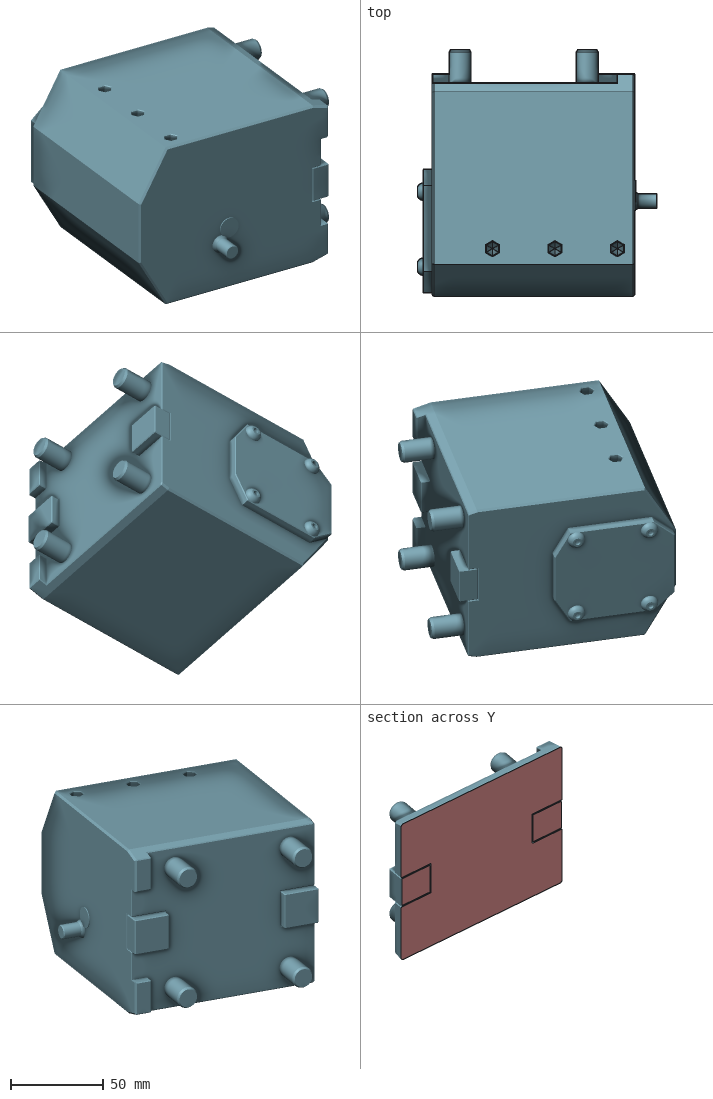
import cadquery as cq
import math

overall_x = 130.1
overall_y = 134.0
overall_z = 96.0

body_length = 110.1
back_y = 116.2
lug_y = 121.1
half_height = overall_z / 2
nose_half_height = 18.0
nose_slope = math.radians(30)
taper_start_y = 111.2
taper_angle = math.radians(15)
body_bevel = 1.1

lug_width = 9.8
lug_bottom_z = 26.5
small_chamfer = 0.47

key_length = 20.5
key_height = 20.2
key_front_y = 110.7

pin_diameter = 12.0
pin_x_positions = (15.3, 84.3)
pin_z = 35.1
pin_chamfer_length = 1.3
pin_chamfer_radial = 0.8

cover_thickness = 5.0
cover_front_y = 2.0
cover_back_y = 69.1
cover_half_height = 29.0
cover_top_y = (13.7, 60.5)
cover_front_half_height = 18.8
cover_back_half_height = 14.1

head_diameter = 9.6
head_flat_diameter = 5.2
head_socket_diameter = 3.2
head_socket_depth = 1.6
dome_bulge = 0.75
screw_y_positions = (16.2, 57.0)
screw_z = 23.9

set_screw_x_positions = (32.8, 66.7, 100.6)
set_screw_y = 26.0
set_screw_mouth_width = 7.5
set_screw_width = 6.7
set_screw_tip_width = 0.1
set_screw_depth = 6.0

cable_length = 12.0
cable_diameter = 8.0
cable_y = 51.9
cable_z = -20.0
collar_diameter = 10.3
collar_length = 1.7
disc_diameter = 11.7
disc_height = 0.5
disc_y = 57.2
disc_z = -11.4

head_height = overall_x - body_length - cover_thickness - cable_length

HEX_CORNER_RATIO = 2 / math.sqrt(3)
DRILL_POINT_RATIO = math.tan(math.radians(30))


def box(x0, x1, y0, y1, z0, z1):
    return cq.Workplane("XY").box(x1 - x0, y1 - y0, z1 - z0, centered=False).translate((x0, y0, z0))


def symmetric_outline(upper_points):
    """Close an outline by mirroring its upper (y, z) points below Z = 0."""
    lower_points = [(y, -z) for y, z in reversed(upper_points)]
    return cq.Workplane("YZ").polyline(upper_points + lower_points).close()


def make_body():
    nose_depth = (half_height - nose_half_height) * math.tan(nose_slope)
    lug_half_height = half_height - (lug_y - taper_start_y) * math.tan(taper_angle)
    outline = symmetric_outline([
        (0, nose_half_height),
        (nose_depth, half_height),
        (taper_start_y, half_height),
        (lug_y, lug_half_height),
    ])
    return outline.extrude(body_length).faces("<X or >X").chamfer(body_bevel)


def make_back_recess():
    """Material removed behind the back face, sparing the two corner lugs."""
    lug_x = body_length - lug_width
    beside_lugs = box(0, lug_x, back_y, lug_y, -half_height, half_height)
    between_lugs = box(lug_x, body_length, back_y, lug_y, -lug_bottom_z, lug_bottom_z)
    return beside_lugs.union(between_lugs)


def bevel_back(body):
    """Bevel the sharp edges of the back face, the key slot mouths and the lugs."""
    tolerance = 0.01
    lug_x = body_length - lug_width

    def at_back_face(center):
        on_face = abs(center.y - back_y) < tolerance
        at_lug_foot = center.x > lug_x - tolerance and abs(center.z) > lug_bottom_z - tolerance
        return on_face and not at_lug_foot

    def at_slot_mouth(center):
        on_end = min(center.x, body_length - center.x) < tolerance
        in_slot = center.y > key_front_y - tolerance and abs(center.z) < key_height / 2 + tolerance
        return on_end and in_slot

    def at_lug(center):
        return center.y > back_y + tolerance and center.x < body_length - body_bevel - tolerance

    back_edges = body.edges().filter(
        lambda edge: at_back_face(edge.Center()) or at_slot_mouth(edge.Center())
    )
    body = back_edges.chamfer(small_chamfer)
    lug_edges = body.edges().filter(lambda edge: at_lug(edge.Center()))
    return lug_edges.chamfer(small_chamfer)


def make_key_slot(x0):
    return box(x0, x0 + key_length, key_front_y, lug_y, -key_height / 2, key_height / 2)


def make_key(x0):
    return make_key_slot(x0).edges().chamfer(small_chamfer)


def make_pin(x, z):
    plane = cq.Plane(origin=(x, key_front_y, z), xDir=(1, 0, 0), normal=(0, 1, 0))
    pin = cq.Workplane(plane).circle(pin_diameter / 2).extrude(overall_y - key_front_y)
    return pin.faces(">Y").chamfer(pin_chamfer_length, pin_chamfer_radial)


def make_cover():
    front_top_y, back_top_y = cover_top_y
    outline = symmetric_outline([
        (cover_front_y, cover_front_half_height),
        (front_top_y, cover_half_height),
        (back_top_y, cover_half_height),
        (cover_back_y, cover_back_half_height),
    ])
    return outline.extrude(-cover_thickness).faces("<X").chamfer(small_chamfer)


def make_screw_head(y, z):
    """Domed head, revolved about its axis, with a drilled socket."""
    rim = head_diameter / 2
    flat = head_flat_diameter / 2
    profile = (
        cq.Workplane("XY")
        .moveTo(0, 0)
        .lineTo(0, rim)
        .threePointArc((-head_height / 2, flat + dome_bulge * (rim - flat)), (-head_height, flat))
        .lineTo(-head_height, 0)
        .close()
    )
    head = profile.revolve(360, (0, 0, 0), (1, 0, 0))
    socket_radius = head_socket_diameter / 2
    socket_tip = head_socket_depth + socket_radius * DRILL_POINT_RATIO
    socket = (
        cq.Workplane("XY")
        .polyline([
            (-head_height, 0),
            (-head_height, socket_radius),
            (head_socket_depth - head_height, socket_radius),
            (socket_tip - head_height, 0),
        ])
        .close()
        .revolve(360, (0, 0, 0), (1, 0, 0))
    )
    return head.cut(socket).translate((-cover_thickness, y, z))


def hexagon_taper(top_width, bottom_width, top_z, bottom_z):
    """Hexagonal frustum, sized across the flats, standing upright about the Z axis."""
    return (
        cq.Workplane("XY", origin=(0, 0, bottom_z))
        .polygon(6, bottom_width * HEX_CORNER_RATIO)
        .workplane(offset=top_z - bottom_z)
        .polygon(6, top_width * HEX_CORNER_RATIO)
        .loft(ruled=True)
    )


def make_set_screw_socket(x):
    """Hexagon socket with its corners along Y, a bevelled mouth and a pyramid bottom."""
    mouth_depth = (set_screw_mouth_width - set_screw_width) / 2
    tip_z = -set_screw_depth - set_screw_width / 2 * DRILL_POINT_RATIO
    mouth = hexagon_taper(set_screw_mouth_width, set_screw_width, 0, -mouth_depth)
    walls = hexagon_taper(set_screw_width, set_screw_width, -mouth_depth, -set_screw_depth)
    bottom = hexagon_taper(set_screw_width, set_screw_tip_width, -set_screw_depth, tip_z)
    socket = mouth.union(walls).union(bottom).rotate((0, 0, 0), (0, 0, 1), 30)
    return socket.translate((x, set_screw_y, half_height))


def make_cable():
    cable = (
        cq.Workplane("YZ", origin=(body_length, cable_y, cable_z))
        .circle(cable_diameter / 2)
        .extrude(cable_length)
        .faces(">X")
        .chamfer(small_chamfer)
    )
    collar = cq.Solid.makeCone(
        collar_diameter / 2,
        cable_diameter / 2,
        collar_length,
        cq.Vector(body_length, cable_y, cable_z),
        cq.Vector(1, 0, 0),
    )
    return cable.union(cq.Workplane(collar))


def make_disc():
    return (
        cq.Workplane("YZ", origin=(body_length, disc_y, disc_z))
        .circle(disc_diameter / 2)
        .extrude(disc_height)
    )


key_x_positions = (0, body_length - key_length)

result = make_body().cut(make_back_recess())
for key_x in key_x_positions:
    result = result.cut(make_key_slot(key_x))
result = bevel_back(result)
for key_x in key_x_positions:
    result = result.union(make_key(key_x))

for pin_x in pin_x_positions:
    for side in (1, -1):
        result = result.union(make_pin(pin_x, side * pin_z))

result = result.union(make_cover())
for screw_y in screw_y_positions:
    for side in (1, -1):
        result = result.union(make_screw_head(screw_y, side * screw_z))

for set_screw_x in set_screw_x_positions:
    result = result.cut(make_set_screw_socket(set_screw_x))

result = result.union(make_cable()).union(make_disc())